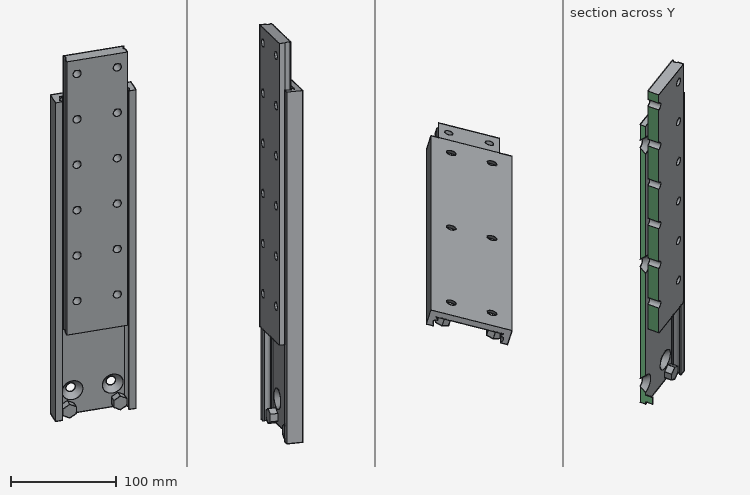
import cadquery as cq
import math

total_height = 395.5
total_depth = 20.0
hole_spread = 40.0

rail_width = 80.0
rail_depth = 16.0
rail_length = 349.5
rail_bottom = 0.2
floor_thickness = 6.0
channel_width = 66.0
wall_ridge = 2.5
rail_hole_diameter = 9.0
rail_sink_diameter = 20.5
rail_hole_pitch = 150.0
rail_hole_count = 3
rail_hole_margin = 25.5

stop_across_flats = 13.0
stop_across_corners = stop_across_flats / math.cos(math.radians(30))
stop_height = 7.5
stop_spread = 50.2

slider_width = 60.0
slider_depth = 12.0
slider_length = 299.5
slider_hole_diameter = 8.0
slider_hole_pitch = 50.0
slider_hole_count = 6
slider_hole_margin = 15.0

track_diameter = 6.0
track_x = 12.0
track_spread = (channel_width + slider_width) / 2


def block(depth, width, length, x, z):
    """Box centred on Y, starting at the given X and Z."""
    return cq.Workplane("XY").box(depth, width, length, centered=(False, True, False)).translate((x, 0, z))


def paired_points(spread, heights):
    """Y-Z points mirrored about the middle plane, one pair at each height."""
    return [(side * spread / 2, z) for z in heights for side in (-1, 1)]


def ball_tracks():
    centers = [(track_x, side * track_spread / 2) for side in (-1, 1)]
    return cq.Workplane("XY").pushPoints(centers).circle(track_diameter / 2).extrude(total_height)


def rail_channel():
    """Open channel whose two inner corners slope from the floor to the ball tracks."""
    half = channel_width / 2
    ridge_x = floor_thickness + wall_ridge
    half_profile = [
        (floor_thickness, half),
        (ridge_x, half - wall_ridge),
        (track_x, half - wall_ridge),
        (track_x, half),
        (rail_depth, half),
    ]
    mirrored_profile = [(x, -y) for x, y in reversed(half_profile)]
    outline = cq.Workplane("XY").polyline(half_profile + mirrored_profile).close()
    return outline.extrude(total_height)


def rail_holes():
    """Screw holes flaring from the back face to the channel floor."""
    heights = [rail_bottom + rail_hole_margin + i * rail_hole_pitch for i in range(rail_hole_count)]
    points = paired_points(hole_spread, heights)
    flare = math.degrees(math.atan((rail_sink_diameter - rail_hole_diameter) / 2 / floor_thickness))
    back = cq.Workplane("YZ").pushPoints(points)
    return back.circle(rail_hole_diameter / 2).extrude(floor_thickness, taper=-flare)


def end_stops():
    """Hexagonal stops whose lowest corners reach slightly below the rail end."""
    points = paired_points(stop_spread, [stop_across_corners / 2])
    hexagons = cq.Sketch().push(points).regularPolygon(stop_across_corners / 2, 6)
    return cq.Workplane("YZ", origin=(floor_thickness, 0, 0)).placeSketch(hexagons).extrude(stop_height)


def make_rail():
    body = block(rail_depth, rail_width, rail_length, 0, rail_bottom)
    return body.cut(rail_channel()).cut(ball_tracks()).cut(rail_holes()).union(end_stops())


def make_slider():
    slider_x = total_depth - slider_depth
    body = block(slider_depth, slider_width, slider_length, slider_x, total_height - slider_length)
    highest_hole = total_height - slider_hole_margin
    heights = [highest_hole - i * slider_hole_pitch for i in range(slider_hole_count)]
    points = paired_points(hole_spread, heights)
    holes = cq.Workplane("YZ", origin=(slider_x, 0, 0)).pushPoints(points)
    holes = holes.circle(slider_hole_diameter / 2).extrude(slider_depth)
    return body.cut(ball_tracks()).cut(holes)


rail = make_rail()
slider = make_slider()
result = cq.Compound.makeCompound([*rail.solids().vals(), *slider.solids().vals()])